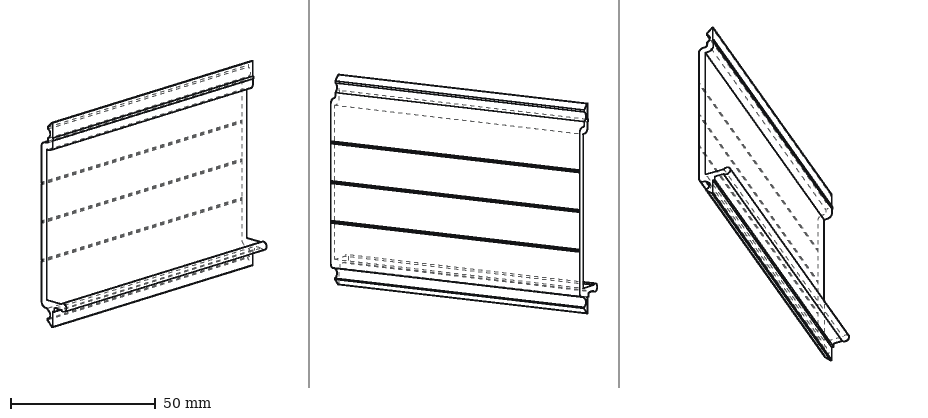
import cadquery as cq

length = 100.0
half_height = 37.0
depth = 12.0
wall = 2.5

lip_back = 5.4
tip_width = 0.4
groove_floor = 4.2

ledge_top = 29.2
ledge_bottom = ledge_top - wall
ledge_round = 1.8
hook_front = 3.1
hook_fillet = 0.6
hook_back = 5.5
hook_round = 2.0
shoulder_top = 31.0
upper_nose_bottom = 34.4
upper_nose_top = half_height - (lip_back - tip_width - hook_front)
upper_groove_middle = (shoulder_top + upper_nose_bottom) / 2

snap_bead_radius = 0.5
snap_bead_reach = 5.8

foot_bottom = -30.7
foot_round = 2.1
undercut_front = 2.6
undercut_slope = 0.7
lower_groove_middle = -32.6
lower_nose_front = 2.8
lower_nose_top = -34.4
lower_nose_bottom = -half_height + (lip_back - tip_width - lower_nose_front)
step_back = 6.1
step_bottom = -31.3

arm_top = -27.7
arm_bottom = -29.8
arm_fillet = 0.4
arm_bead_radius = 1.5
arm_bead_height = -28.8
arm_end = depth - arm_bead_radius

face_groove_count = 3
face_groove_pitch = 14.0
face_groove_mouth = 0.9
face_groove_floor = 0.4
face_groove_depth = 0.1


def profile_plane():
    """XZ plane at the end of the strip that extrudes toward +Y."""
    return cq.Workplane("XZ", origin=(0, length / 2, 0))


def strip_body():
    """Panel with the hook, foot, arm and snap lips, without beads and face grooves."""
    outline = (
        profile_plane()
        .moveTo(0, foot_bottom + foot_round)
        .lineTo(0, ledge_top - ledge_round)
        .tangentArcPoint((ledge_round, ledge_top), relative=False)
        .lineTo(hook_front - hook_fillet, ledge_top)
        .tangentArcPoint((hook_front, ledge_top + hook_fillet), relative=False)
        .lineTo(hook_front, shoulder_top)
        .threePointArc((groove_floor, upper_groove_middle), (hook_front, upper_nose_bottom))
        .lineTo(hook_front, upper_nose_top)
        .lineTo(lip_back - tip_width, half_height)
        .lineTo(lip_back, half_height)
        .lineTo(lip_back, shoulder_top)
        .lineTo(hook_back, shoulder_top)
        .lineTo(hook_back, ledge_bottom + hook_round)
        .tangentArcPoint((hook_back - hook_round, ledge_bottom), relative=False)
        .lineTo(wall, ledge_bottom)
        .lineTo(wall, arm_top + arm_fillet)
        .tangentArcPoint((wall + arm_fillet, arm_top), relative=False)
        .lineTo(arm_end, arm_top)
        .lineTo(arm_end, arm_bottom)
        .lineTo(step_back + arm_fillet, arm_bottom)
        .tangentArcPoint((step_back, arm_bottom - arm_fillet), relative=False)
        .lineTo(step_back, step_bottom)
        .lineTo(lip_back, step_bottom)
        .lineTo(lip_back, -half_height)
        .lineTo(lip_back - tip_width, -half_height)
        .lineTo(lower_nose_front, lower_nose_bottom)
        .lineTo(lower_nose_front, lower_nose_top)
        .threePointArc(
            (groove_floor, lower_groove_middle),
            (undercut_front + undercut_slope, foot_bottom - undercut_slope),
        )
        .lineTo(undercut_front, foot_bottom)
        .lineTo(foot_round, foot_bottom)
        .tangentArcPoint((0, foot_bottom + foot_round), relative=False)
        .close()
    )
    return outline.extrude(length)


def bead(x, z, radius):
    """Round bar along the full length of the strip."""
    return profile_plane().center(x, z).circle(radius).extrude(length)


def face_groove(z):
    """Cutter for one flat-bottomed groove with sloping sides in the panel face."""
    half_mouth = face_groove_mouth / 2
    half_floor = face_groove_floor / 2
    corners = [
        (0, z - half_mouth),
        (face_groove_depth, z - half_floor),
        (face_groove_depth, z + half_floor),
        (0, z + half_mouth),
    ]
    return profile_plane().polyline(corners).close().extrude(length)


result = strip_body()
result = result.union(bead(snap_bead_reach - snap_bead_radius, shoulder_top, snap_bead_radius))
result = result.union(bead(arm_end, arm_bead_height, arm_bead_radius))

for index in range(face_groove_count):
    groove_z = (index - (face_groove_count - 1) / 2) * face_groove_pitch
    result = result.cut(face_groove(groove_z))